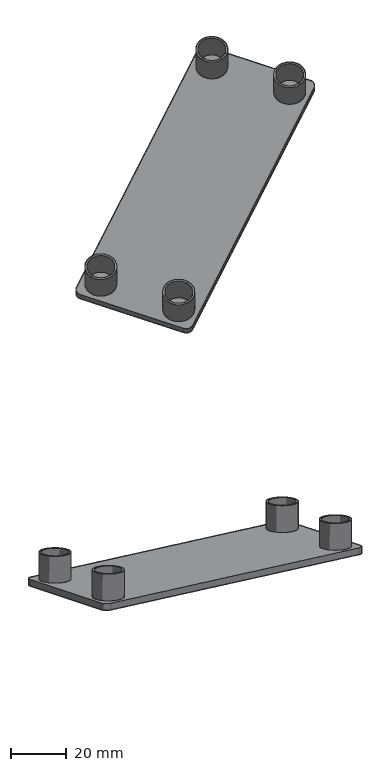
import cadquery as cq

plate_width = 45.0
plate_length = 120.0
plate_thickness = 2.5
corner_radius = 2.5

total_height = 12.5
post_height = total_height - plate_thickness
post_diameter = 11.5
bore_diameter = 10.0
post_edge_distance = 7.5
post_spacing_x = plate_width - 2 * post_edge_distance
post_spacing_y = plate_length - 2 * post_edge_distance

plate = (
    cq.Workplane("XY")
    .box(plate_width, plate_length, plate_thickness, centered=(True, True, False))
    .edges("|Z")
    .fillet(corner_radius)
)

posts = (
    cq.Workplane("XY", origin=(0, 0, plate_thickness))
    .rect(post_spacing_x, post_spacing_y, forConstruction=True)
    .vertices()
    .circle(post_diameter / 2)
    .circle(bore_diameter / 2)
    .extrude(post_height)
)

result = plate.union(posts)